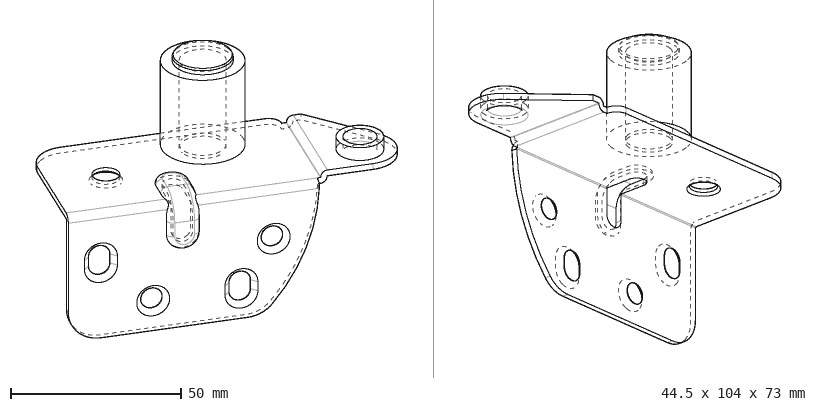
import cadquery as cq
import math


sheet = 2.0
bend_inner_radius = 0.3
bend_outer_radius = bend_inner_radius + sheet
corner_radius = 10.0

plate_width = 42.0
plate_length = 76.5
shoulder_width = 4.1
shoulder_radius = 4.0
plate_hole_diameter = 8.2
plate_hole_chamfer = 0.8
plate_hole_x = -22.0
plate_hole_y = 18.0

flange_length = 76.9
flange_height = 42.0
flange_sweep_radius = 58.7
flange_hole_diameter = 6.5
countersink_angle = 45
countersink_land = 0.2
slot_length = 9.6
upper_hole_z = -17.0
lower_hole_z = -32.0
round_holes = [(62.9, upper_hole_z), (26.0, lower_hole_z)]
slots = [(10.0, upper_hole_z), (53.0, lower_hole_z)]

total_length = 104.0
jog_inner_radius = 0.1
jog_outer_radius = jog_inner_radius + sheet
tongue_rise = jog_inner_radius + jog_outer_radius
jog_top_y = 80.1
jog_bottom_y = jog_top_y - tongue_rise
tongue_left_x = -plate_width + shoulder_width
tongue_right_x = -bend_outer_radius
tongue_end_radius = 10.0

collar_x = -12.0
collar_y = 92.9
collar_outer_diameter = 14.0
collar_bore_diameter = 10.0
collar_height = 4.3

bead_y = 35.0
bead_width = 10.0
bead_recess_width = bead_width - 2 * sheet
bead_bend_radius = 6.0
bead_plate_reach = 11.0
bead_flange_reach = 10.6

roller_x = -30.0
roller_y = 50.0
roller_diameter = 25.0
roller_bottom = 1.0
roller_height = 28.0
roller_top = roller_bottom + roller_height
shaft_diameter = 13.8
head_diameter = 18.0
head_height = 2.0
head_chamfer_width = 0.3
head_chamfer_height = 0.6

plate_leg = cq.Plane(origin=(0, bead_y, 0), xDir=(-1, 0, 0), normal=(0, 0, 1))
flange_leg = cq.Plane(origin=(0, bead_y, 0), xDir=(0, 0, -1), normal=(1, 0, 0))
bead_legs = [(plate_leg, bead_plate_reach), (flange_leg, bead_flange_reach)]


def make_bent_sheet():
    """Plate and flange joined by the bend, both still rectangular."""
    return (
        cq.Workplane("XZ")
        .moveTo(-plate_width, 0)
        .lineTo(-bend_outer_radius, 0)
        .radiusArc((0, -bend_outer_radius), bend_outer_radius)
        .lineTo(0, -flange_height)
        .lineTo(-sheet, -flange_height)
        .lineTo(-sheet, -bend_outer_radius)
        .radiusArc((-bend_outer_radius, -sheet), -bend_inner_radius)
        .lineTo(-plate_width, -sheet)
        .close()
        .extrude(-total_length)
    )


def make_plate_outline():
    """Outline of the plate from above, covering the bend and the flange as well."""
    shoulder_x = -plate_width + shoulder_radius
    return (
        cq.Workplane("XY", origin=(0, 0, -flange_height))
        .moveTo(0, 0)
        .lineTo(-plate_width + corner_radius, 0)
        .radiusArc((-plate_width, corner_radius), corner_radius)
        .lineTo(-plate_width, plate_length - shoulder_radius)
        .radiusArc((shoulder_x, plate_length), shoulder_radius)
        .lineTo(tongue_left_x, plate_length)
        .lineTo(tongue_left_x, jog_bottom_y)
        .lineTo(tongue_right_x, jog_bottom_y)
        .lineTo(tongue_right_x, flange_length)
        .lineTo(0, flange_length)
        .close()
        .extrude(flange_height)
    )


def make_flange_outline():
    """Side outline: a swept far edge that runs into a rounded lower corner, with the plate kept whole."""
    sweep_center_y = flange_length - flange_sweep_radius
    corner_center_z = -flange_height + corner_radius
    center_distance = flange_sweep_radius - corner_radius
    lean = math.asin(-corner_center_z / center_distance)
    corner_center_y = sweep_center_y + center_distance * math.cos(lean)
    sweep_end = (
        sweep_center_y + flange_sweep_radius * math.cos(lean),
        -flange_sweep_radius * math.sin(lean),
    )
    flange = (
        cq.Workplane("YZ", origin=(-bend_outer_radius, 0, 0))
        .moveTo(0, 0)
        .lineTo(flange_length, 0)
        .radiusArc(sweep_end, flange_sweep_radius)
        .radiusArc((corner_center_y, -flange_height), corner_radius)
        .lineTo(corner_radius, -flange_height)
        .radiusArc((0, corner_center_z), corner_radius)
        .close()
        .extrude(bend_outer_radius)
    )
    plate_and_bend = (
        cq.Workplane("XY", origin=(0, 0, -bend_outer_radius))
        .rect(-plate_width, total_length, centered=False)
        .extrude(bend_outer_radius)
    )
    return flange.union(plate_and_bend)


def make_tongue():
    """Jog profile run across the tongue, trimmed to the slanted and rounded outline."""
    strip = (
        cq.Workplane("YZ", origin=(tongue_left_x, 0, 0))
        .moveTo(total_length, tongue_rise)
        .lineTo(jog_top_y, tongue_rise)
        .radiusArc((jog_top_y - jog_outer_radius, jog_inner_radius), -jog_outer_radius)
        .radiusArc((jog_bottom_y, 0), jog_inner_radius)
        .lineTo(jog_bottom_y, -sheet)
        .radiusArc((jog_top_y - jog_inner_radius, jog_inner_radius), -jog_outer_radius)
        .radiusArc((jog_top_y, tongue_rise - sheet), jog_inner_radius)
        .lineTo(total_length, tongue_rise - sheet)
        .close()
        .extrude(tongue_right_x - tongue_left_x)
    )
    end_x = tongue_right_x - tongue_end_radius
    end_y = total_length - tongue_end_radius
    diagonal = tongue_end_radius * math.sqrt(0.5)
    slant_top = (end_x - diagonal, end_y + diagonal)
    slant_bottom_y = slant_top[1] - (slant_top[0] - tongue_left_x)
    outline = (
        cq.Workplane("XY", origin=(0, 0, -sheet))
        .moveTo(tongue_left_x, jog_bottom_y)
        .lineTo(tongue_left_x, slant_bottom_y)
        .lineTo(*slant_top)
        .radiusArc((tongue_right_x, end_y), tongue_end_radius)
        .lineTo(tongue_right_x, jog_bottom_y)
        .close()
        .extrude(sheet + tongue_rise)
    )
    return strip.intersect(outline)


def make_collar():
    """Short cylinder standing on the tongue."""
    return (
        cq.Workplane("XY", origin=(collar_x, collar_y, tongue_rise))
        .circle(collar_outer_diameter / 2)
        .extrude(collar_height)
    )


def make_collar_bore():
    """Bore through collar and tongue, flared by a full round at the underside."""
    radius = collar_bore_diameter / 2
    return (
        cq.Workplane("XZ", origin=(collar_x, collar_y, tongue_rise))
        .moveTo(0, collar_height)
        .lineTo(radius, collar_height)
        .lineTo(radius, 0)
        .radiusArc((radius + sheet, -sheet), -sheet)
        .lineTo(0, -sheet)
        .close()
        .revolve(360, (0, 0), (0, 1))
    )


def draw_bead_section(workplane):
    """Cross-section of the bead: flat crown with a quarter round on each side."""
    half_width = bead_width / 2
    half_crown = half_width - sheet
    return (
        workplane.moveTo(-half_width, 0)
        .radiusArc((-half_crown, sheet), sheet)
        .lineTo(half_crown, sheet)
        .radiusArc((half_width, 0), sheet)
        .close()
    )


def make_bead_leg(reach):
    """Straight run of the bead with a rounded end, in the local frame of a leg."""
    run = draw_bead_section(cq.Workplane("YZ", origin=(bead_bend_radius, 0, 0)))
    run = run.extrude(reach - bead_bend_radius)
    end = (
        cq.Workplane("XZ", origin=(reach, 0, 0))
        .lineTo(bead_width / 2, 0)
        .radiusArc((bead_width / 2 - sheet, sheet), -sheet)
        .lineTo(0, sheet)
        .close()
        .revolve(360, (0, 0), (0, 1))
    )
    return run.union(end)


def make_bead():
    """Quarter turn of the bead section round the bend, with a leg on the plate and one on the flange."""
    bead = (
        draw_bead_section(cq.Workplane("YZ", origin=(-bead_bend_radius, bead_y, 0)))
        .revolve(90, (0, -bead_bend_radius), (1, -bead_bend_radius))
    )
    for frame, reach in bead_legs:
        bead = bead.union(cq.Workplane(make_bead_leg(reach).val().moved(cq.Location(frame))))
    return bead


def make_bead_recess():
    """Hollow behind the bead, leaving one sheet thickness of metal at its crown."""
    recess = (
        cq.Workplane("XZ", origin=(0, bead_y + bead_recess_width / 2, 0))
        .moveTo(-bead_bend_radius, -bead_bend_radius)
        .lineTo(-bead_bend_radius, 0)
        .radiusArc((0, -bead_bend_radius), bead_bend_radius)
        .close()
        .extrude(bead_recess_width)
    )
    for frame, reach in bead_legs:
        run = (
            cq.Workplane(frame)
            .moveTo((bead_bend_radius + reach) / 2, 0)
            .rect(reach - bead_bend_radius, bead_recess_width)
            .extrude(-sheet)
        )
        end = cq.Workplane(frame).moveTo(reach, 0).circle(bead_recess_width / 2).extrude(-sheet)
        recess = recess.union(run).union(end)
    return recess


def make_plate_hole():
    """Round hole with a chamfered rim on the underside of the plate."""
    radius = plate_hole_diameter / 2
    return (
        cq.Workplane("XZ", origin=(plate_hole_x, plate_hole_y, 0))
        .lineTo(radius, 0)
        .lineTo(radius, plate_hole_chamfer - sheet)
        .lineTo(radius + plate_hole_chamfer, -sheet)
        .lineTo(0, -sheet)
        .close()
        .revolve(360, (0, 0), (0, 1))
    )


def make_flange_cutters(start_x, depth, taper):
    """All round holes and upright slots, cut outward from the given X with the given taper."""
    origin = (start_x, 0, 0)
    holes = (
        cq.Workplane("YZ", origin=origin)
        .pushPoints(round_holes)
        .circle(flange_hole_diameter / 2)
        .extrude(depth, taper=taper)
    )
    upright_slots = (
        cq.Workplane("YZ", origin=origin)
        .pushPoints(slots)
        .slot2D(slot_length, flange_hole_diameter, 90)
        .extrude(depth, taper=taper)
    )
    return holes.union(upright_slots)


def make_flange_holes():
    """Holes and slots countersunk from the outer face, down to a thin land at the inner face."""
    lands = make_flange_cutters(-sheet, countersink_land, 0)
    sinks = make_flange_cutters(countersink_land - sheet, sheet - countersink_land, -countersink_angle)
    return lands.union(sinks)


def make_bracket():
    """One bent sheet with its tongue, collar, bead and holes."""
    bracket = make_bent_sheet().intersect(make_plate_outline()).intersect(make_flange_outline())
    bracket = bracket.union(make_tongue()).union(make_collar()).cut(make_collar_bore())
    bracket = bracket.union(make_bead()).cut(make_bead_recess())
    return bracket.cut(make_plate_hole()).cut(make_flange_holes()).solids()


def make_roller():
    """Sleeve that turns on the pin shaft, clear of the plate."""
    return (
        cq.Workplane("XY", origin=(roller_x, roller_y, roller_bottom))
        .circle(roller_diameter / 2)
        .circle(shaft_diameter / 2)
        .extrude(roller_height)
    )


def make_pin():
    """Shaft standing on the plate, with a chamfered head resting on the roller."""
    shaft_radius = shaft_diameter / 2
    head_radius = head_diameter / 2
    pin_top = roller_top + head_height
    return (
        cq.Workplane("XZ", origin=(roller_x, roller_y, 0))
        .lineTo(shaft_radius, 0)
        .lineTo(shaft_radius, roller_top)
        .lineTo(head_radius, roller_top)
        .lineTo(head_radius, pin_top - head_chamfer_height)
        .lineTo(head_radius - head_chamfer_width, pin_top)
        .lineTo(0, pin_top)
        .close()
        .revolve(360, (0, 0), (0, 1))
    )


bracket = make_bracket()
roller = make_roller()
pin = make_pin()

result = cq.Compound.makeCompound([bracket.val(), roller.val(), pin.val()])